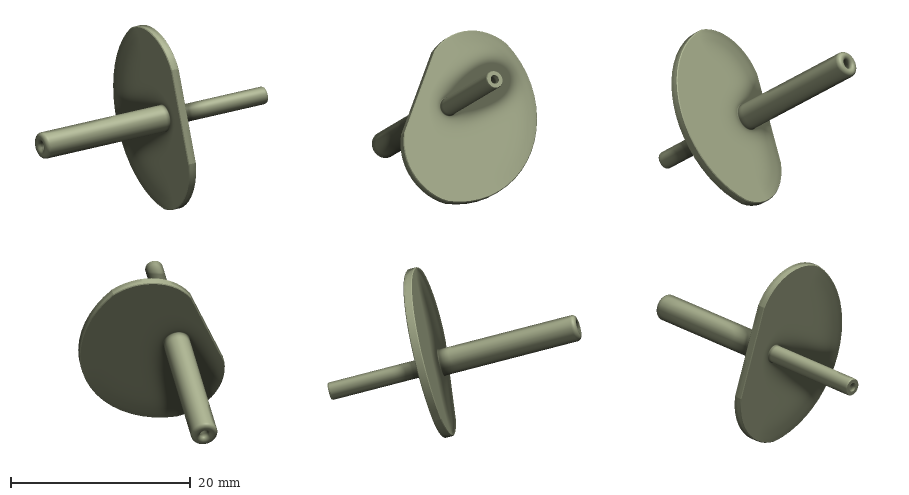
import cadquery as cq
import math

total_length = 29.0
plate_thickness = 1.0
rear_pin_length = 12.0
front_pin_length = total_length - plate_thickness - rear_pin_length

rear_pin_diameter = 2.0
rear_pin_radius = rear_pin_diameter / 2
bore_radius = rear_pin_radius / 2
front_pin_radius = 3 * bore_radius
tip_round = bore_radius
rear_tip_chamfer = 0.17
rear_tip_inset = 0.05
root_fillet = 0.1
plate_edge_chamfer = 0.1

axis = (0.0, 0.0)
cam_radius = 11.0
cam_start_angle = 130.8
cam_end_angle = 270.0
top_arc_center = (-3.75, 2.93)
low_arc_center = (-0.9, -4.67)
flat_top_angle = 32.1
flat_low_angle = 8.9


def point_at(center, radius, degrees):
    """Point on a circle at the given angle."""
    angle = math.radians(degrees)
    return center[0] + radius * math.cos(angle), center[1] + radius * math.sin(angle)


def cam_outline(y):
    """Closed cam outline in the plane at y: three arcs and one straight flat."""
    cam_start = point_at(axis, cam_radius, cam_start_angle)
    cam_end = point_at(axis, cam_radius, cam_end_angle)
    top_radius = math.dist(top_arc_center, cam_start)
    low_radius = math.dist(low_arc_center, cam_end)
    return (
        cq.Workplane("XZ", origin=(0, y, 0))
        .moveTo(*cam_end)
        .threePointArc(
            point_at(low_arc_center, low_radius, -40),
            point_at(low_arc_center, low_radius, flat_low_angle),
        )
        .lineTo(*point_at(top_arc_center, top_radius, flat_top_angle))
        .threePointArc(point_at(top_arc_center, top_radius, 90), cam_start)
        .threePointArc(point_at(axis, cam_radius, 180), cam_end)
        .close()
    )


def make_plate():
    """Cam plate with a 45 degree chamfer around both faces."""
    rim_front = plate_edge_chamfer
    rim_rear = plate_thickness - plate_edge_chamfer
    rim = cam_outline(rim_rear).extrude(rim_rear - rim_front)
    front_bevel = cam_outline(rim_front).extrude(plate_edge_chamfer, taper=45)
    rear_bevel = front_bevel.mirror("XZ", (0, plate_thickness / 2, 0))
    return rim.union(front_bevel).union(rear_bevel)


def make_shaft():
    """Both pins, with their bore, as one revolved wall profile drawn as (radius, y)."""
    front_tip = -front_pin_length
    rear_tip = plate_thickness + rear_pin_length
    return (
        cq.Workplane("XY")
        .moveTo(bore_radius, front_tip + tip_round)
        .radiusArc((bore_radius + tip_round, front_tip), -tip_round)
        .radiusArc((front_pin_radius, front_tip + tip_round), -tip_round)
        .lineTo(front_pin_radius, -root_fillet)
        .radiusArc((front_pin_radius + root_fillet, 0), root_fillet)
        .lineTo(front_pin_radius + root_fillet, plate_thickness)
        .lineTo(rear_pin_radius + root_fillet, plate_thickness)
        .radiusArc((rear_pin_radius, plate_thickness + root_fillet), root_fillet)
        .lineTo(rear_pin_radius, rear_tip - rear_tip_chamfer)
        .lineTo(rear_pin_radius - rear_tip_inset, rear_tip)
        .lineTo(bore_radius, rear_tip)
        .close()
        .revolve(360, (0, 0), (0, 1))
    )


plate_bore = cq.Workplane("XZ").circle(bore_radius).extrude(-plate_thickness)
result = make_plate().cut(plate_bore).union(make_shaft())